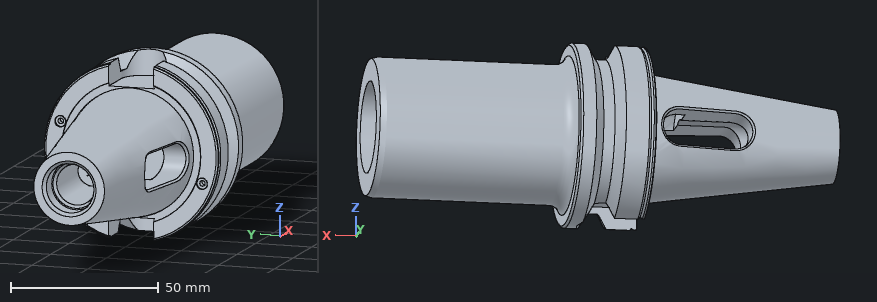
import cadquery as cq
import math

total_length = 160.4
flange_diameter = 63.0
flange_radius = flange_diameter / 2
front_flange_radius = 31.3
body_diameter = 48.0
body_radius = body_diameter / 2

gauge_diameter = 44.5
gauge_radius = gauge_diameter / 2
gauge_x = 65.5
taper_slope = 7 / 48
shank_end_radius = gauge_radius - gauge_x * taper_slope

flange_face_x = 66.4
face_relief_radius = 24.9
face_relief_depth = 0.5
front_face_radius = 30.5
front_edge_radius = 31.1
front_chamfer_end_x = 66.7
ring_start_x = 67.4
ring_end_x = 69.0
ring_depth = 0.5
groove_start_x = 77.0
groove_cone_end_x = 79.4
groove_floor_start_x = 80.0
groove_floor_end_x = 83.9
groove_end_x = 87.3
groove_radius = 26.3
groove_cone_end_radius = 27.0
flange_back_x = 92.5
back_edge_chamfer = 0.8

body_fillet_radius = 5.0
body_fillet_start_radius = 27.1
body_end_chamfer_length = 2.2
body_end_chamfer_depth = 0.6

keyway_width = 16.2
keyway_end_x = 88.5
keyway_floor_z = 22.5

slot_start_x = 30.8
slot_end_x = 62.4
slot_height = 12.4
slot_edge_chamfer = 0.8

pilot_mouth_radius = 9.6
pilot_radius = 8.5
pilot_depth = 6.9
through_mouth_radius = 8.0
through_radius = 7.0
socket_mouth_diameter = 31.3
socket_mouth_radius = socket_mouth_diameter / 2
socket_bottom_x = 53.3
socket_slope = 1 / 38.5

pin_circle_radius = 27.0
pin_angle = 20.0
pin_mouth_radius = 2.0
pin_mouth_depth = 0.6
pin_radius = 1.0
pin_depth = 3.2


def turned_blank():
    """Shank, flange and body revolved about the X axis."""
    ring_middle_x = (ring_start_x + ring_end_x) / 2
    relief_x = flange_face_x + face_relief_depth
    fillet_drop = body_fillet_start_radius - body_radius
    fillet_run = math.sqrt(body_fillet_radius**2 - (body_fillet_radius - fillet_drop) ** 2)
    half_angle = math.atan2(fillet_run, body_fillet_radius - fillet_drop) / 2
    fillet_end_x = flange_back_x + fillet_run
    fillet_mid = (
        fillet_end_x - body_fillet_radius * math.sin(half_angle),
        body_radius + body_fillet_radius * (1 - math.cos(half_angle)),
    )
    profile = (
        cq.Workplane("XY")
        .moveTo(0, 0)
        .lineTo(0, shank_end_radius)
        .lineTo(gauge_x, gauge_radius)
        .lineTo(relief_x, gauge_radius)
        .lineTo(relief_x, face_relief_radius)
        .lineTo(flange_face_x, face_relief_radius)
        .lineTo(flange_face_x, front_face_radius)
        .lineTo(front_chamfer_end_x, front_edge_radius)
        .lineTo(ring_start_x, front_edge_radius)
        .lineTo(ring_middle_x, front_edge_radius - ring_depth)
        .lineTo(ring_end_x, front_flange_radius)
        .lineTo(groove_start_x, front_flange_radius)
        .lineTo(groove_cone_end_x, groove_cone_end_radius)
        .lineTo(groove_floor_start_x, groove_radius)
        .lineTo(groove_floor_end_x, groove_radius)
        .lineTo(groove_end_x, flange_radius)
        .lineTo(flange_back_x - back_edge_chamfer, flange_radius)
        .lineTo(flange_back_x, flange_radius - back_edge_chamfer)
        .lineTo(flange_back_x, body_fillet_start_radius)
        .threePointArc(fillet_mid, (fillet_end_x, body_radius))
        .lineTo(total_length - body_end_chamfer_length, body_radius)
        .lineTo(total_length, body_radius - body_end_chamfer_depth)
        .lineTo(total_length, 0)
        .close()
    )
    return profile.revolve(360, (0, 0, 0), (1, 0, 0))


def keyway(side):
    """Round-ended drive keyway on the +Z (side=1) or -Z (side=-1) flange edge."""
    end_center_x = keyway_end_x - keyway_width / 2
    height = flange_radius
    mid_z = side * (keyway_floor_z + height / 2)
    channel = cq.Workplane("XY").box(end_center_x - gauge_x, keyway_width, height)
    channel = channel.translate(((gauge_x + end_center_x) / 2, 0, mid_z))
    end = cq.Workplane("XY").cylinder(height, keyway_width / 2).translate((end_center_x, 0, mid_z))
    return channel.union(end)


def drift_slot(shank):
    """Cut the slot along Y and chamfer both of its mouths."""
    length = slot_end_x - slot_start_x
    cutter = (
        cq.Workplane("XZ")
        .center((slot_start_x + slot_end_x) / 2, 0)
        .slot2D(length, slot_height)
        .extrude(flange_radius, both=True)
    )
    slotted = shank.cut(cutter)
    mouth_zone = cq.selectors.BoxSelector(
        (slot_start_x, -gauge_radius, -slot_height),
        (slot_end_x, gauge_radius, slot_height),
    )
    mouths = slotted.edges(mouth_zone).edges("not(|Y)")
    return mouths.chamfer(slot_edge_chamfer)


def bores():
    """Pilot counterbore, through hole and tapered socket on the X axis."""
    mouth_chamfer = pilot_mouth_radius - pilot_radius
    through_chamfer = through_mouth_radius - through_radius
    socket_bottom_radius = socket_mouth_radius - (total_length - socket_bottom_x) * socket_slope
    profile = (
        cq.Workplane("XY")
        .moveTo(0, 0)
        .lineTo(0, pilot_mouth_radius)
        .lineTo(mouth_chamfer, pilot_radius)
        .lineTo(pilot_depth, pilot_radius)
        .lineTo(pilot_depth, through_mouth_radius)
        .lineTo(pilot_depth + through_chamfer, through_radius)
        .lineTo(socket_bottom_x, through_radius)
        .lineTo(socket_bottom_x, socket_bottom_radius)
        .lineTo(total_length, socket_mouth_radius)
        .lineTo(total_length, 0)
        .close()
    )
    return profile.revolve(360, (0, 0, 0), (1, 0, 0))


def pin_hole(angle):
    """Stepped blind hole in the flange face, at an angle measured from +Y towards +Z."""
    y = pin_circle_radius * math.cos(math.radians(angle))
    z = pin_circle_radius * math.sin(math.radians(angle))
    face = cq.Workplane("YZ", origin=(flange_face_x, y, z))
    mouth = face.circle(pin_mouth_radius).extrude(pin_mouth_depth)
    return mouth.union(face.circle(pin_radius).extrude(pin_depth))


result = turned_blank()
result = drift_slot(result)
result = result.cut(bores())
for side in (1, -1):
    result = result.cut(keyway(side))
for angle in (pin_angle, pin_angle + 180):
    result = result.cut(pin_hole(angle))